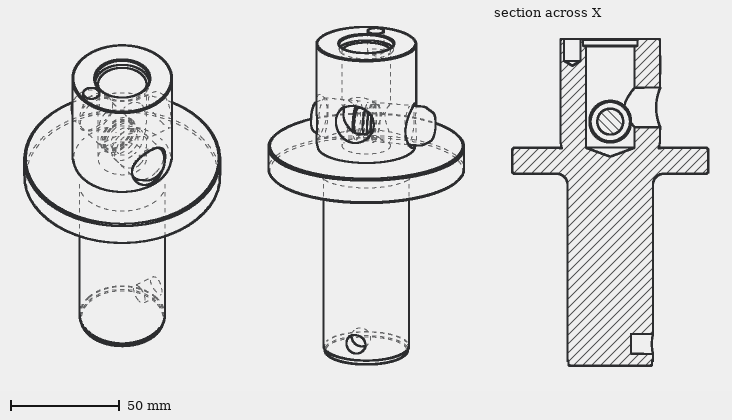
import cadquery as cq
import math

total_height = 150.0

flange_radius = 45.0
flange_bottom_z = 88.0
flange_top_z = 100.0
flange_chamfer = 0.8

head_radius = 23.0
head_chamfer = 0.5

shank_radius = 19.6
shank_fillet = 5.0

step_radius = 19.2
step_height = 2.2
step_chamfer = 0.5

relief_height = 2.4
relief_depth = 0.6
relief_face_depth = 0.3
relief_outer_radius = 23.8

counterbore_radius = 12.5
counterbore_depth = 3.0
counterbore_chamfer = 0.5
bore_radius = 11.1
bore_lead_in_height = 0.6
bore_bottom_z = 100.0
bore_tip_half_angle = math.radians(70)

dowel_hole_radius = 3.8
dowel_hole_offset = 17.4
dowel_hole_depth = 10.0
dowel_hole_tip_half_angle = math.radians(59)

side_hole_radius = 9.0
side_hole_z = 118.5
shank_dimple_radius = 4.5
shank_dimple_z = 10.0
shank_dimple_depth = 10.0

pin_z = 112.0
pin_radius = 9.0
pin_hole_countersink_radius = 10.5
pin_hole_countersink_slope = math.radians(30)

pin_button_x = -31.5
pin_tip_x = 24.9
pin_end_radius = 6.3
pin_end_slope = math.radians(30)
pin_end_rounding = 2.1

pin_neck_radius = 6.0
pin_neck_start_x = -0.6
pin_neck_end_x = 4.2

ring_wire_radius = 0.8
ring_outer_radius = 9.6
ring_x = -3.5
ring_groove_width = 1.8
ring_center_radius = ring_outer_radius - ring_wire_radius
ring_groove_radius = ring_center_radius - ring_wire_radius


def drilled_hole(radius, start_z, wall_depth, tip_half_angle):
    """Vertical hole on the Z axis, with the conical end left by a drill."""
    end_z = start_z - wall_depth
    tip_z = end_z - radius / math.tan(tip_half_angle)
    return (
        cq.Workplane("XZ")
        .polyline([(0, start_z), (radius, start_z), (radius, end_z), (0, tip_z)])
        .close()
        .revolve(360, (0, 0, 0), (0, 1, 0))
    )


def housing_blank():
    """Turned outline of the shank, flange and head."""
    return (
        cq.Workplane("XZ")
        .moveTo(0, 0)
        .lineTo(step_radius - step_chamfer, 0)
        .lineTo(step_radius, step_chamfer)
        .lineTo(step_radius, step_height)
        .lineTo(shank_radius, step_height)
        .lineTo(shank_radius, flange_bottom_z - shank_fillet)
        .radiusArc((shank_radius + shank_fillet, flange_bottom_z), shank_fillet)
        .lineTo(flange_radius - flange_chamfer, flange_bottom_z)
        .lineTo(flange_radius, flange_bottom_z + flange_chamfer)
        .lineTo(flange_radius, flange_top_z - flange_chamfer)
        .lineTo(flange_radius - flange_chamfer, flange_top_z)
        .lineTo(relief_outer_radius, flange_top_z)
        .lineTo(head_radius - relief_depth, flange_top_z - relief_face_depth)
        .lineTo(head_radius, flange_top_z + relief_height)
        .lineTo(head_radius, total_height - head_chamfer)
        .lineTo(head_radius - head_chamfer, total_height)
        .lineTo(0, total_height)
        .close()
        .revolve(360, (0, 0, 0), (0, 1, 0))
    )


def stepped_bore():
    """Blind bore with a chamfered counterbore and a conical lead-in."""
    lead_in_z = total_height - counterbore_depth
    bore_top_z = lead_in_z - bore_lead_in_height
    entry = (
        cq.Workplane("XZ")
        .polyline([
            (0, total_height),
            (counterbore_radius + counterbore_chamfer, total_height),
            (counterbore_radius, total_height - counterbore_chamfer),
            (counterbore_radius, lead_in_z),
            (bore_radius, bore_top_z),
            (0, bore_top_z),
        ])
        .close()
        .revolve(360, (0, 0, 0), (0, 1, 0))
    )
    bore_depth = bore_top_z - bore_bottom_z
    return entry.union(drilled_hole(bore_radius, bore_top_z, bore_depth, bore_tip_half_angle))


def pin_hole():
    """Cross hole along X, countersunk where it leaves the head."""
    countersink_growth = pin_hole_countersink_radius - pin_radius
    countersink_depth = countersink_growth / math.tan(pin_hole_countersink_slope)
    inner_x = head_radius - countersink_depth
    return (
        cq.Workplane("XY")
        .polyline([
            (-head_radius, 0),
            (-head_radius, pin_hole_countersink_radius),
            (-inner_x, pin_radius),
            (inner_x, pin_radius),
            (head_radius, pin_hole_countersink_radius),
            (head_radius, 0),
        ])
        .close()
        .revolve(360, (0, 0, 0), (1, 0, 0))
        .translate((0, 0, pin_z))
    )


def radial_hole(radius, z, outer_y, inner_y):
    """Round hole from outer_y inward to inner_y on the +Y side."""
    return (
        cq.Workplane("XZ", origin=(0, outer_y, z))
        .circle(radius)
        .extrude(outer_y - inner_y)
    )


def build_housing():
    """Shank, flange and head in one piece, with all bores and holes."""
    bore_axis_y = 0
    dimple_floor_y = shank_radius - shank_dimple_depth
    dowel_hole = drilled_hole(
        dowel_hole_radius, total_height, dowel_hole_depth, dowel_hole_tip_half_angle
    )
    return (
        housing_blank()
        .cut(stepped_bore())
        .cut(pin_hole())
        .cut(dowel_hole.translate((0, -dowel_hole_offset, 0)))
        .cut(radial_hole(side_hole_radius, side_hole_z, head_radius, bore_axis_y))
        .cut(radial_hole(shank_dimple_radius, shank_dimple_z, shank_radius, dimple_floor_y))
    )


def build_pin():
    """Turned pin along X: identical rounded conical ends, ring groove and neck."""
    cone_length = (pin_radius - pin_end_radius) / math.tan(pin_end_slope)
    button_cone_x = pin_button_x + cone_length
    tip_cone_x = pin_tip_x - cone_length
    groove_start_x = ring_x - ring_groove_width / 2
    groove_end_x = ring_x + ring_groove_width / 2
    pin = (
        cq.Workplane("XY")
        .polyline([
            (pin_button_x, 0),
            (pin_button_x, pin_end_radius),
            (button_cone_x, pin_radius),
            (groove_start_x, pin_radius),
            (groove_start_x, ring_groove_radius),
            (groove_end_x, ring_groove_radius),
            (groove_end_x, pin_radius),
            (pin_neck_start_x, pin_radius),
            (pin_neck_start_x, pin_neck_radius),
            (pin_neck_end_x, pin_neck_radius),
            (pin_neck_end_x, pin_radius),
            (tip_cone_x, pin_radius),
            (pin_tip_x, pin_end_radius),
            (pin_tip_x, 0),
        ])
        .close()
        .revolve(360, (0, 0, 0), (1, 0, 0))
    )
    for end_face in ("<X", ">X"):
        cone_edges = pin.faces("%CONE").faces(end_face).edges("%CIRCLE")
        pin = pin.newObject(cone_edges.vals()).fillet(pin_end_rounding)
    return pin.translate((0, 0, pin_z))


def build_retaining_ring():
    """Round-wire ring seated in the groove of the pin."""
    return (
        cq.Workplane("XY")
        .center(ring_x, ring_center_radius)
        .circle(ring_wire_radius)
        .revolve(360, (0, -ring_center_radius, 0), (1, -ring_center_radius, 0))
        .translate((0, 0, pin_z))
    )


housing = build_housing()
pin = build_pin()
retaining_ring = build_retaining_ring()

result = cq.Compound.makeCompound([housing.val(), pin.val(), retaining_ring.val()])